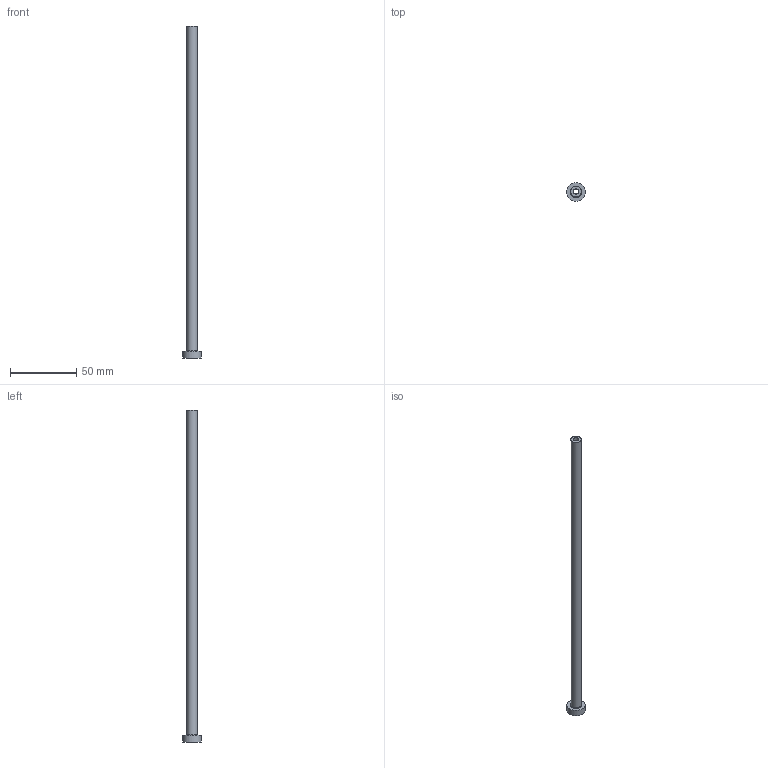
import cadquery as cq

total_length = 250.0
head_diameter = 14.0
head_height = 5.0
shaft_diameter = 8.0
bore_diameter = 4.0
neck_fillet_radius = 0.5

shaft_radius = shaft_diameter / 2
head_radius = head_diameter / 2
bore_radius = bore_diameter / 2


def sleeve_profile():
    """Half section in the XZ plane, from the bore wall to the outside."""
    return (
        cq.Workplane("XZ")
        .moveTo(bore_radius, 0)
        .lineTo(head_radius, 0)
        .lineTo(head_radius, head_height)
        .lineTo(shaft_radius + neck_fillet_radius, head_height)
        .radiusArc((shaft_radius, head_height + neck_fillet_radius), neck_fillet_radius)
        .lineTo(shaft_radius, total_length)
        .lineTo(bore_radius, total_length)
        .close()
    )


result = sleeve_profile().revolve(360, (0, 0, 0), (0, 1, 0))